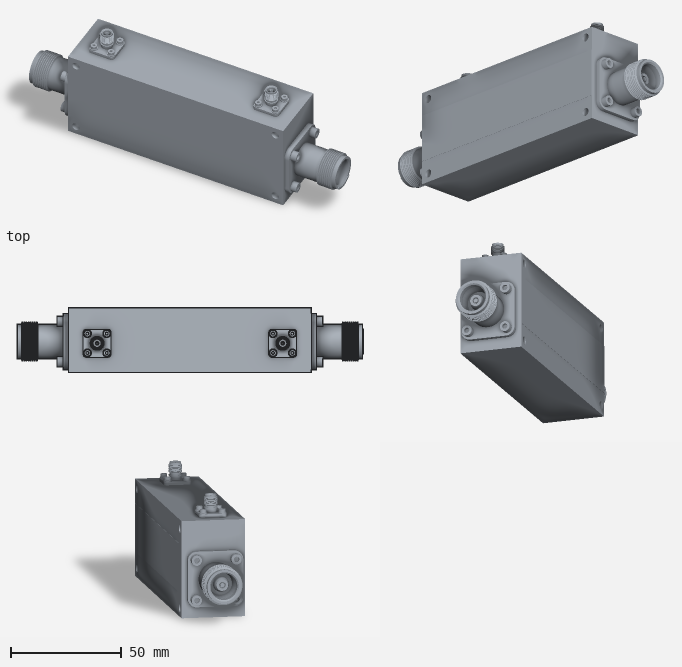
import cadquery as cq
import math


body_length = 109.6
case_depth = 26.5
overall_depth = 29.4
body_height = 44.5
mount_hole_diameter = 3.7
mount_hole_inset = 4.0
label_length = body_length
label_height = body_height / 2
label_thickness = 0.11
body_depth = overall_depth - label_thickness
lid_thickness = body_depth - case_depth

thread_crest_share = 0.25

end_axis_y = 14.0
end_axis_z = 18.0
end_length = 23.1
end_flange_size = 25.5
end_flange_thickness = 2.3
end_flange_radius = 4.0
end_screw_spacing = 18.3
end_screw_head_diameter = 4.7
end_screw_head_height = 2.8
end_socket_diameter = 2.5
end_socket_depth = 1.5
barrel_diameter = 15.6
end_thread_diameter = 17.5
end_thread_start = 13.7
end_thread_pitch = 1.0
end_thread_turns = 8
end_mouth_diameter = 13.5
end_mouth_chamfer = 0.6
end_bore_straight_depth = 3.7
end_bore_depth = 8.5
end_floor_diameter = 10.3
boss_base_diameter = 7.2
boss_tip_diameter = 5.3
boss_tip_depth = 4.7
boss_bore_diameter = 3.0
boss_bore_depth = 1.5
end_contact_diameter = 1.9
lip_length = 0.3
lip_drop = 5.3

top_inset = 13.0
top_flange_size = 12.7
top_flange_thickness = 1.5
top_flange_radius = 1.5
top_screw_spacing = 8.7
top_screw_head_diameter = 3.0
top_screw_head_height = 1.9
top_washer_diameter = 3.6
top_washer_thickness = 0.5
top_socket_diameter = 1.27
top_socket_depth = 1.0
collar_diameter = 5.3
collar_rim_diameter = 6.1
collar_rim_base = 3.3
collar_rim_top = 3.7
neck_diameter = 5.3
top_thread_diameter = 6.2
top_thread_start = 4.8
top_thread_pitch = 0.6
top_thread_turns = 6
top_length = 9.5
top_mouth_diameter = 4.7
top_mouth_chamfer = 0.5
top_bore_diameter = 3.7
top_bore_depth = 3.1
top_contact_diameter = 1.53
top_contact_hole_diameter = 1.0


def thread_points(root_radius, crest_radius, start, pitch, turns):
    """(radius, height) points of a row of thread ridges with narrow flat crests."""
    crest_width = pitch * thread_crest_share
    points = [(root_radius, start)]
    for turn in range(turns):
        ridge_base = start + turn * pitch
        points.append((crest_radius, ridge_base + (pitch - crest_width) / 2))
        points.append((crest_radius, ridge_base + (pitch + crest_width) / 2))
        points.append((root_radius, ridge_base + pitch))
    return points


def spin(points):
    """Solid of revolution about Z from (radius, height) points."""
    return cq.Workplane("XZ").polyline(points).close().revolve(360, (0, 0), (0, 1))


def corner_discs(spacing, diameter, base, height):
    """Four discs along Z at the corners of a square; a negative height runs down."""
    plane = cq.Workplane("XY").workplane(offset=base)
    corners = plane.rect(spacing, spacing, forConstruction=True).vertices()
    return corners.circle(diameter / 2).extrude(height)


def square_flange(size, thickness, radius):
    """Square flange on Z = 0 with rounded corners."""
    plate = cq.Workplane("XY").box(size, size, thickness, centered=(True, True, False))
    return plate.edges("|Z").fillet(radius)


def end_connector():
    """Large threaded connector on Z = 0, pointing up, with a tapered boss and a contact in its bore."""
    barrel_radius = barrel_diameter / 2
    thread = thread_points(
        barrel_radius, end_thread_diameter / 2, end_thread_start, end_thread_pitch, end_thread_turns
    )
    barrel = spin([(0, 0), (barrel_radius, 0)] + thread + [(barrel_radius, end_length), (0, end_length)])

    throat_radius = end_mouth_diameter / 2 - end_mouth_chamfer
    floor_height = end_length - end_bore_depth
    boss_tip = end_length - boss_tip_depth
    boss_bore_floor = boss_tip - boss_bore_depth
    bore = spin(
        [
            (0, end_length),
            (end_mouth_diameter / 2, end_length),
            (throat_radius, end_length - end_mouth_chamfer),
            (throat_radius, end_length - end_bore_straight_depth),
            (end_floor_diameter / 2, floor_height),
            (boss_base_diameter / 2, floor_height),
            (boss_tip_diameter / 2, boss_tip),
            (boss_bore_diameter / 2, boss_tip),
            (boss_bore_diameter / 2, boss_bore_floor),
            (end_contact_diameter / 2, boss_bore_floor),
            (end_contact_diameter / 2, boss_tip),
            (0, boss_tip),
        ]
    )
    head_top = end_flange_thickness + end_screw_head_height
    flange = square_flange(end_flange_size, end_flange_thickness, end_flange_radius)
    heads = corner_discs(
        end_screw_spacing, end_screw_head_diameter, end_flange_thickness, end_screw_head_height
    )
    sockets = corner_discs(end_screw_spacing, end_socket_diameter, head_top, -end_socket_depth)
    return flange.union(heads).cut(sockets).union(barrel.cut(bore))


def top_connector():
    """Small threaded connector standing on Z = 0, pointing up."""
    collar_radius = collar_diameter / 2
    collar_rim_radius = collar_rim_diameter / 2
    neck_radius = neck_diameter / 2
    thread = thread_points(
        neck_radius, top_thread_diameter / 2, top_thread_start, top_thread_pitch, top_thread_turns
    )
    barrel = spin(
        [
            (0, 0),
            (collar_radius, 0),
            (collar_radius, collar_rim_base),
            (collar_rim_radius, collar_rim_base),
            (collar_rim_radius, collar_rim_top),
            (neck_radius, collar_rim_top),
        ]
        + thread
        + [(neck_radius, top_length), (0, top_length)]
    )
    bore_floor = top_length - top_bore_depth
    bore = spin(
        [
            (0, top_length),
            (top_mouth_diameter / 2, top_length),
            (top_bore_diameter / 2, top_length - top_mouth_chamfer),
            (top_bore_diameter / 2, bore_floor),
            (0, bore_floor),
        ]
    )
    contact_top = top_length - top_mouth_chamfer
    contact = (
        cq.Workplane("XY")
        .workplane(offset=bore_floor)
        .circle(top_contact_diameter / 2)
        .circle(top_contact_hole_diameter / 2)
        .extrude(contact_top - bore_floor)
    )
    head_top = top_flange_thickness + top_screw_head_height
    flange = square_flange(top_flange_size, top_flange_thickness, top_flange_radius)
    washers = corner_discs(
        top_screw_spacing, top_washer_diameter, top_flange_thickness, top_washer_thickness
    )
    heads = corner_discs(
        top_screw_spacing, top_screw_head_diameter, top_flange_thickness, top_screw_head_height
    )
    sockets = corner_discs(top_screw_spacing, top_socket_diameter, head_top, -top_socket_depth)
    flange = flange.union(washers).union(heads).cut(sockets)
    return flange.union(barrel.cut(bore)).union(contact)


def end_lip():
    """Short rim segment on the mouth of the +X connector, below a horizontal chord."""
    barrel_radius = barrel_diameter / 2
    half_chord = math.sqrt(barrel_radius**2 - lip_drop**2)
    segment = (
        cq.Workplane("YZ")
        .moveTo(-half_chord, -lip_drop)
        .threePointArc((0, -barrel_radius), (half_chord, -lip_drop))
        .close()
        .extrude(lip_length)
    )
    mouth = cq.Workplane("YZ").circle(end_mouth_diameter / 2).extrude(lip_length)
    return segment.cut(mouth).translate((body_length / 2 + end_length, end_axis_y, end_axis_z))


def housing():
    """Case, lid and rear label plate, drilled through at the four corners."""
    centring = (True, False, False)
    case = cq.Workplane("XY").box(body_length, case_depth, body_height, centered=centring)
    lid = cq.Workplane("XY").box(body_length, lid_thickness, body_height, centered=centring)
    label = cq.Workplane("XY").box(label_length, label_thickness, label_height, centered=centring)
    hole_spacing_x = body_length - 2 * mount_hole_inset
    hole_spacing_z = body_height - 2 * mount_hole_inset
    hole_pattern = (
        cq.Workplane("XZ", origin=(0, 0, body_height / 2))
        .rect(hole_spacing_x, hole_spacing_z, forConstruction=True)
        .vertices()
        .circle(mount_hole_diameter / 2)
        .extrude(-body_depth)
    )
    lid = lid.translate((0, case_depth, 0))
    label = label.translate((0, body_depth, (body_height - label_height) / 2))
    return case.cut(hole_pattern).union(lid.cut(hole_pattern), clean=False).union(label, clean=False)


result = housing()

right_end = end_connector().rotate((0, 0, 0), (0, 1, 0), 90)
right_end = right_end.translate((body_length / 2, end_axis_y, end_axis_z))
result = result.union(right_end, clean=False).union(right_end.mirror("YZ"), clean=False)
result = result.union(end_lip(), clean=False)

for side in (-1, 1):
    top_x = side * (body_length / 2 - top_inset)
    result = result.union(top_connector().translate((top_x, case_depth / 2, body_height)), clean=False)